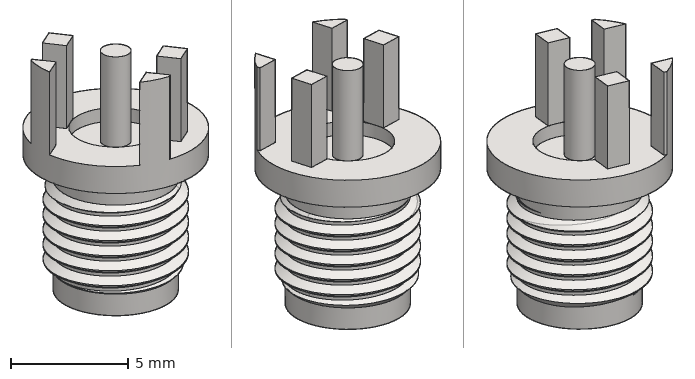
import cadquery as cq
import math


flange_diameter = 7.9375
flange_radius = flange_diameter / 2
flange_thickness = 1.27
bore_radius = 2.0
bore_depth = flange_thickness / 2

barrel_radius = 2.68
barrel_length = 6.35
barrel_bottom = -flange_thickness - barrel_length

pin_radius = 0.66
pin_height = 3.62
tip_length = 0.244
tip_base_radius = 0.375
tip_end_radius = 0.26

leg_height = 3.9
leg_width = 1.07
leg_depth = leg_width
leg_inner_x = 1.99
middle_leg_back_y = 0.40
front_leg_back_y = -2.37

inch = 25.4
turns_per_inch = 36
thread_pitch = inch / turns_per_inch
thread_radius = 3.11
plain_neck_length = 1.143
plain_end_length = 1.016
thread_top = -flange_thickness - plain_neck_length
thread_bottom = barrel_bottom + plain_end_length
crest_width = 0.06
flank_angle = math.radians(30)
root_overlap = 0.04
first_crest_above_top = 0.06
spare_turns = 1


def make_body():
    """Flange and barrel, with the round bore sunk into the flange."""
    flange = cq.Workplane("XY").circle(flange_radius).extrude(-flange_thickness)
    barrel = cq.Workplane("XY").workplane(offset=barrel_bottom).circle(barrel_radius).extrude(barrel_length)
    bore = cq.Workplane("XY").circle(bore_radius).extrude(-bore_depth)
    return flange.cut(bore).union(barrel)


def make_pin():
    """Round contact pin standing on the bore floor."""
    pin_length = pin_height + bore_depth
    return cq.Workplane("XY").workplane(offset=-bore_depth).circle(pin_radius).extrude(pin_length)


def make_tip():
    """Tapered contact tip below the barrel."""
    return (
        cq.Workplane("XY")
        .workplane(offset=barrel_bottom)
        .circle(tip_base_radius)
        .workplane(offset=-tip_length)
        .circle(tip_end_radius)
        .loft(ruled=True)
    )


def make_legs():
    """Two square middle legs and two front legs trimmed to the flange edge."""
    front_leg_depth = flange_radius + front_leg_back_y
    legs = cq.Workplane("XY")
    for back_y, depth in ((middle_leg_back_y, leg_depth), (front_leg_back_y, front_leg_depth)):
        for side in (-1, 1):
            centre = (side * (leg_inner_x + leg_width / 2), back_y - depth / 2)
            legs = legs.moveTo(*centre).rect(leg_width, depth)
    flange_outline = cq.Workplane("XY").circle(flange_radius).extrude(leg_height)
    return legs.extrude(leg_height).intersect(flange_outline)


def make_thread():
    """Helical ridge limited to a sleeve whose two ends are chamfered down to the barrel."""
    root_radius = barrel_radius - root_overlap
    half_crest = crest_width / 2
    half_root = half_crest + (thread_radius - root_radius) * math.tan(flank_angle)
    first_crest = thread_top + first_crest_above_top
    turns = math.ceil((thread_top - thread_bottom) / thread_pitch) + 2 * spare_turns
    start_z = first_crest - (turns - spare_turns) * thread_pitch

    path = cq.Wire.makeHelix(thread_pitch, turns * thread_pitch, barrel_radius)
    ridge = (
        cq.Workplane("XZ")
        .polyline([
            (root_radius, -half_root),
            (thread_radius, -half_crest),
            (thread_radius, half_crest),
            (root_radius, half_root),
        ])
        .close()
        .sweep(path, isFrenet=True)
        .translate((0, 0, start_z))
    )

    chamfer = thread_radius - root_radius
    sleeve_bottom = thread_bottom - root_overlap
    sleeve_top = thread_top + root_overlap
    sleeve = (
        cq.Workplane("XZ")
        .moveTo(0, sleeve_bottom)
        .lineTo(root_radius, sleeve_bottom)
        .lineTo(thread_radius, sleeve_bottom + chamfer)
        .lineTo(thread_radius, sleeve_top - chamfer)
        .lineTo(root_radius, sleeve_top)
        .lineTo(0, sleeve_top)
        .close()
        .revolve()
    )
    surroundings = (
        cq.Workplane("XY")
        .workplane(offset=barrel_bottom - thread_pitch)
        .circle(flange_radius)
        .extrude(barrel_length + 2 * thread_pitch)
        .cut(sleeve)
    )
    return ridge.cut(surroundings)


result = make_body().union(make_pin()).union(make_tip()).union(make_legs()).union(make_thread())